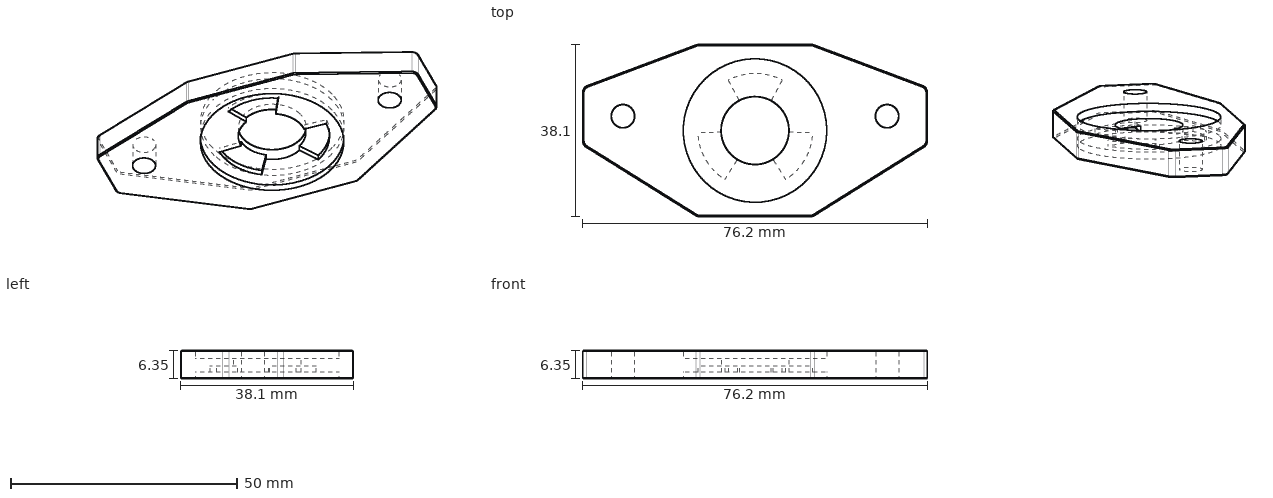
import cadquery as cq
import math

LENGTH = 76.2
WIDTH = 38.1
THICKNESS = 6.35
FLAT_LENGTH = 25.4
END_TOP_Y = 9.525
END_BOTTOM_Y = -3.175
CORNER_RADIUS = 1.5875
EDGE_CHAMFER = 0.27

BORE_DIAMETER = 14.97
RECESS_DIAMETER = 31.75
TOP_RECESS_DEPTH = 1.8
BOTTOM_RECESS_DEPTH = 1.5875

NOTCH_COUNT = 3
FIRST_NOTCH_ANGLE = 90.0
NOTCH_SPAN = 56.0
NOTCH_DEPTH = 1.27
NOTCH_RADIUS = 12.7

MOUNT_DIAMETER = 5.1
MOUNT_X = 29.2
MOUNT_Y = 3.175


def plate():
    """Eight-sided plate with rounded corners and chamfered rims."""
    end_x = LENGTH / 2
    side_y = WIDTH / 2
    flat_x = FLAT_LENGTH / 2
    outline = [
        (end_x, END_BOTTOM_Y),
        (end_x, END_TOP_Y),
        (flat_x, side_y),
        (-flat_x, side_y),
        (-end_x, END_TOP_Y),
        (-end_x, END_BOTTOM_Y),
        (-flat_x, -side_y),
        (flat_x, -side_y),
    ]
    body = cq.Workplane("XY").polyline(outline).close().extrude(THICKNESS)
    body = body.edges("|Z").fillet(CORNER_RADIUS)
    return body.faces("<Z or >Z").chamfer(EDGE_CHAMFER)


def disc(diameter, bottom_z, height):
    """Upright cylinder on the bore axis."""
    return cq.Workplane("XY").workplane(offset=bottom_z).circle(diameter / 2).extrude(height)


def notch(angle):
    """Pie-shaped cutter with its tip on the bore axis, centred on the given angle."""
    half_angle = math.radians(NOTCH_SPAN / 2)
    start = (NOTCH_RADIUS * math.cos(half_angle), -NOTCH_RADIUS * math.sin(half_angle))
    end = (start[0], -start[1])
    sector = cq.Workplane("XY").lineTo(*start).threePointArc((NOTCH_RADIUS, 0), end).close()
    cutter = sector.extrude(BOTTOM_RECESS_DEPTH + NOTCH_DEPTH)
    return cutter.rotate((0, 0, 0), (0, 0, 1), angle)


def mounting_holes():
    """Through-hole cutters near the two ends."""
    centers = [(-MOUNT_X, MOUNT_Y), (MOUNT_X, MOUNT_Y)]
    return cq.Workplane("XY").pushPoints(centers).circle(MOUNT_DIAMETER / 2).extrude(THICKNESS)


top_recess_floor = THICKNESS - TOP_RECESS_DEPTH

result = plate()
result = result.cut(disc(BORE_DIAMETER, 0, THICKNESS))
result = result.cut(disc(RECESS_DIAMETER, top_recess_floor, TOP_RECESS_DEPTH))
result = result.cut(disc(RECESS_DIAMETER, 0, BOTTOM_RECESS_DEPTH))
for index in range(NOTCH_COUNT):
    result = result.cut(notch(FIRST_NOTCH_ANGLE + index * 360 / NOTCH_COUNT))
result = result.cut(mounting_holes())